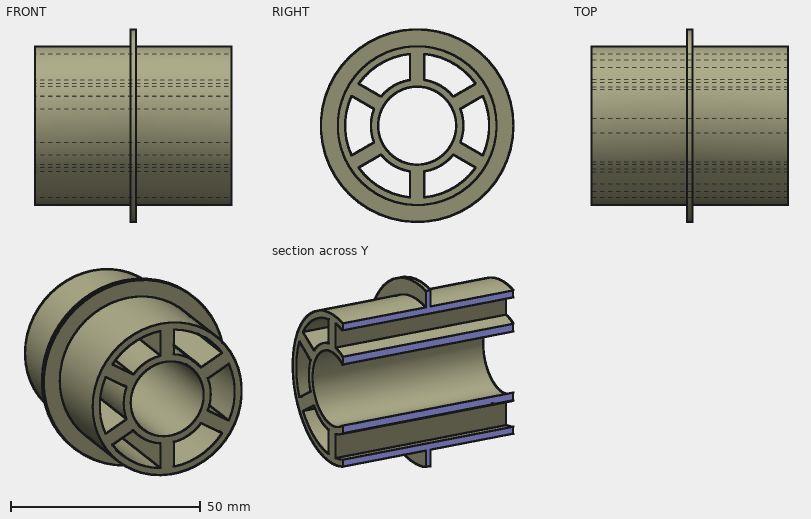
import cadquery as cq

length = 52.0
flange_diameter = 51.0
flange_thickness = 1.5
sleeve_outer_diameter = 42.0
wall_thickness = 2.0
bore_diameter = 20.6
spoke_count = 6
spoke_width = 3.8

sleeve_inner_diameter = sleeve_outer_diameter - 2 * wall_thickness
hub_diameter = bore_diameter + 2 * wall_thickness
spoke_start_radius = (bore_diameter + wall_thickness) / 2
spoke_end_radius = (sleeve_inner_diameter + wall_thickness) / 2


def tube(outer_diameter, inner_diameter, tube_length):
    """Tube along X, centred on the origin."""
    return (
        cq.Workplane("YZ")
        .circle(outer_diameter / 2)
        .circle(inner_diameter / 2)
        .extrude(tube_length)
        .translate((-tube_length / 2, 0, 0))
    )


def spoke(angle):
    """Full-length radial web between hub and sleeve, turned about X from +Z."""
    radial_length = spoke_end_radius - spoke_start_radius
    middle_radius = (spoke_start_radius + spoke_end_radius) / 2
    return (
        cq.Workplane("XY")
        .box(length, spoke_width, radial_length)
        .translate((0, 0, middle_radius))
        .rotate((0, 0, 0), (1, 0, 0), angle)
    )


sleeve = tube(sleeve_outer_diameter, sleeve_inner_diameter, length)
flange = tube(flange_diameter, sleeve_inner_diameter, flange_thickness)
hub = tube(hub_diameter, bore_diameter, length)

result = sleeve.union(flange).union(hub)
for index in range(spoke_count):
    result = result.union(spoke(index * 360 / spoke_count))